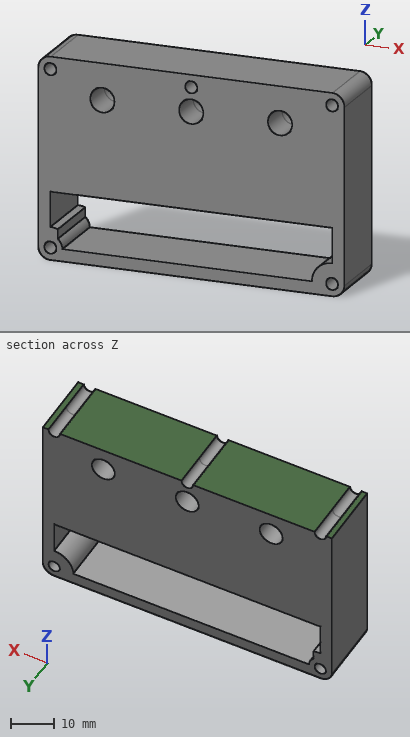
import cadquery as cq
import math

width = 76.0
depth = 17.0
height = 49.5
rim = 3.05

screw_diameter = 3.0
large_diameter = 6.0
large_spacing = 22.05
large_drop = 9.0

window_height = 13.6
boss_radius = 5.0
trimmed_boss_radius = 3.0
trimmed_boss_reach = 1.8

screw_x = width / 2 - rim
screw_z = height / 2 - rim


def make_block():
    block = cq.Workplane("XZ").rect(width, height).extrude(depth / 2, both=True)
    return block.edges("|Y").fillet(rim)


def through_holes(centres, diameter):
    return cq.Workplane("XZ").pushPoints(centres).circle(diameter / 2).extrude(depth, both=True)


def make_window():
    """Full-depth window; the right boss is a quarter round, the left one is stepped."""
    left, right = -screw_x, screw_x
    bottom = -screw_z
    top = bottom + window_height
    diagonal = boss_radius * math.sqrt(0.5)
    flat_x = left + trimmed_boss_reach

    flat_top_z = bottom + math.sqrt(boss_radius**2 - trimmed_boss_reach**2)
    flat_bottom_z = bottom + math.sqrt(trimmed_boss_radius**2 - trimmed_boss_reach**2)
    upper_angle = (math.pi / 2 + math.acos(trimmed_boss_reach / boss_radius)) / 2
    lower_angle = math.acos(trimmed_boss_reach / trimmed_boss_radius) / 2
    upper_middle = (
        left + boss_radius * math.cos(upper_angle),
        bottom + boss_radius * math.sin(upper_angle),
    )
    lower_middle = (
        left + trimmed_boss_radius * math.cos(lower_angle),
        bottom + trimmed_boss_radius * math.sin(lower_angle),
    )

    return (
        cq.Workplane("XZ")
        .moveTo(left, top)
        .lineTo(right, top)
        .lineTo(right, bottom + boss_radius)
        .threePointArc((right - diagonal, bottom + diagonal), (right - boss_radius, bottom))
        .lineTo(left + trimmed_boss_radius, bottom)
        .threePointArc(lower_middle, (flat_x, flat_bottom_z))
        .lineTo(flat_x, flat_top_z)
        .threePointArc(upper_middle, (left, bottom + boss_radius))
        .close()
        .extrude(depth, both=True)
    )


screw_centres = [(x, z) for x in (-screw_x, screw_x) for z in (-screw_z, screw_z)]
screw_centres.append((0, screw_z))

large_z = height / 2 - large_drop
large_centres = [(x, large_z) for x in (-large_spacing, 0, large_spacing)]

result = (
    make_block()
    .cut(through_holes(screw_centres, screw_diameter))
    .cut(through_holes(large_centres, large_diameter))
    .cut(make_window())
)